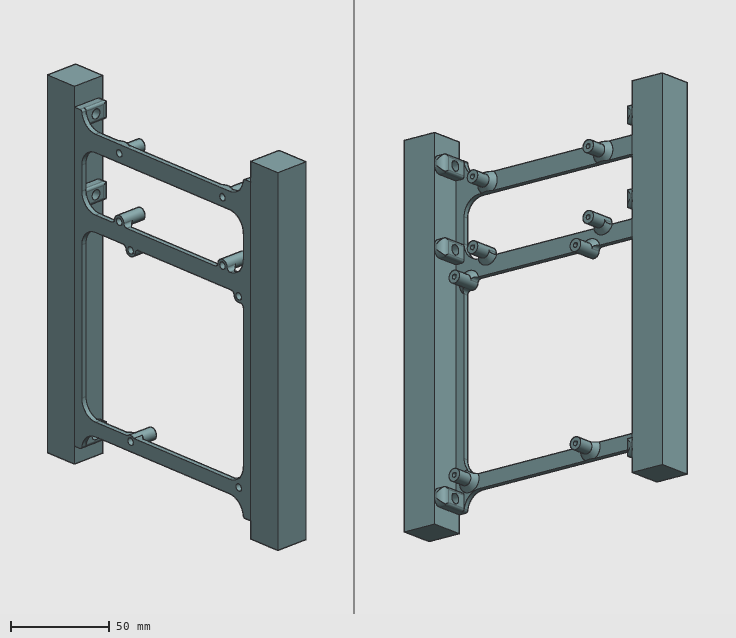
import cadquery as cq
import math

overall_width = 170.0
post_height = 210.3
post_size = 20.0
post_inner_x = overall_width / 2 - post_size

plate_thickness = 3.0
rail_width = 5.5
window_half_width = post_inner_x - rail_width
corner_radius = 10.0
top_bar_bottom_z, top_bar_top_z = 73.2, 83.5
middle_bar_bottom_z, middle_bar_top_z = 28.8, 38.5
bottom_bar_bottom_z, bottom_bar_top_z = -85.0, -76.8
ear_height = corner_radius
frame_top_z = top_bar_top_z + ear_height
frame_bottom_z = bottom_bar_bottom_z - ear_height
ear_tip_radius = 1.5

tab_height = ear_height
tab_edge_radius = ear_tip_radius
tab_rear_radius = 4.0
tab_inner_rear_radius = 4.6
tab_hole_diameter = 5.5
tab_bottoms_z = [top_bar_top_z, middle_bar_top_z, frame_bottom_z]

standoff_diameter = 7.0
standoff_radius = standoff_diameter / 2
standoff_end_y = 15.0
foot_height = 3.0
foot_top_y = plate_thickness + foot_height
foot_base_radius = standoff_radius + foot_height
boss_blend_radius = 2.0
screw_hole_diameter = 2.5
head_bore_diameter = 4.0
head_seat_y = foot_top_y
head_bore_end_y = head_seat_y + (head_bore_diameter - screw_hole_diameter) / 2

upper_left_x, upper_right_x = -32.0, 44.2
upper_top_z, upper_bottom_z = 78.5, 40.4
lower_left_x, lower_right_x = -23.5, 56.2
lower_top_z, lower_bottom_z = 27.1, -79.3
upper_points = [(x, z) for x in (upper_left_x, upper_right_x) for z in (upper_top_z, upper_bottom_z)]
lower_points = [(x, z) for x in (lower_left_x, lower_right_x) for z in (lower_top_z, lower_bottom_z)]
standoff_points = upper_points + lower_points


def block(x_range, y_range, z_range):
    """Box spanning the given (low, high) range on each axis."""
    corners = list(zip(x_range, y_range, z_range))
    size = [high - low for low, high in zip(*corners)]
    return cq.Workplane("XY").box(*size, centered=False).translate(corners[0])


def rod(point, diameter, y_start, y_end):
    """Cylinder along +Y centred on an (x, z) point."""
    plane = cq.Workplane("XZ", origin=(0, y_start, 0))
    return plane.center(*point).circle(diameter / 2).extrude(y_start - y_end)


def cone(point, start_radius, end_radius, y_start, y_end):
    """Truncated cone along +Y centred on an (x, z) point."""
    base = cq.Vector(point[0], y_start, point[1])
    solid = cq.Solid.makeCone(start_radius, end_radius, y_end - y_start, base, cq.Vector(0, 1, 0))
    return cq.Workplane(obj=solid)


def make_post(side):
    """One post; side is -1 for the left and +1 for the right."""
    center_x = side * (overall_width - post_size) / 2
    post = cq.Workplane("XY").box(post_size, post_size, post_height)
    return post.translate((center_x, post_size / 2, 0))


def window(bottom_z, top_z, rounded_corners):
    """Cutter for an opening between the rails, rounded at the selected corners."""
    opening = block((-window_half_width, window_half_width), (0, foot_top_y), (bottom_z, top_z))
    for corner in rounded_corners:
        opening = opening.edges("|Y").edges(corner).fillet(corner_radius)
    return opening


def round_corner(outline, point, radius):
    """Fillet the edge along Y that lies at an (x, z) point of the outline."""
    nearest = cq.selectors.NearestToPointSelector((point[0], foot_top_y / 2, point[1]))
    return outline.edges("|Y").edges(nearest).fillet(radius)


def half_chord(distance):
    """Half the chord that a line cuts from a boss at the given distance from its centre."""
    return math.sqrt(standoff_radius**2 - distance**2)


def blend_bosses(outline):
    """Round the inside corners where the bosses of the middle bar meet its edges and the right rail."""
    upper_reach = half_chord(upper_bottom_z - middle_bar_top_z)
    lower_reach = half_chord(middle_bar_bottom_z - lower_top_z)
    rail_drop = half_chord(window_half_width - lower_right_x)
    corners = [
        (upper_left_x - upper_reach, middle_bar_top_z),
        (upper_left_x + upper_reach, middle_bar_top_z),
        (upper_right_x - upper_reach, middle_bar_top_z),
        (upper_right_x + upper_reach, middle_bar_top_z),
        (lower_left_x - lower_reach, middle_bar_bottom_z),
        (lower_left_x + lower_reach, middle_bar_bottom_z),
        (lower_right_x - lower_reach, middle_bar_bottom_z),
        (window_half_width, lower_top_z - rail_drop),
    ]
    for corner in corners:
        outline = round_corner(outline, corner, boss_blend_radius)
    return outline


def make_outline():
    """Frame outline with bosses, extruded from the front face to the top of the feet."""
    outline = block((-post_inner_x, post_inner_x), (0, foot_top_y), (frame_bottom_z, frame_top_z))
    notch_depth = 2 * ear_height
    outline = outline.cut(window(top_bar_top_z, top_bar_top_z + notch_depth, ["<Z"]))
    outline = outline.cut(window(middle_bar_top_z, top_bar_bottom_z, ["<Z", ">Z"]))
    outline = outline.cut(window(bottom_bar_top_z, middle_bar_bottom_z, ["<Z", "<X and >Z"]))
    outline = outline.union(
        block((lower_right_x, window_half_width), (0, foot_top_y), (lower_top_z, middle_bar_bottom_z))
    )
    outline = outline.cut(window(bottom_bar_bottom_z - notch_depth, bottom_bar_bottom_z, [">Z"]))
    for side in (-1, 1):
        for z in (frame_bottom_z, frame_top_z):
            outline = round_corner(outline, (side * window_half_width, z), ear_tip_radius)
    for point in standoff_points:
        outline = outline.union(rod(point, standoff_diameter, 0, foot_top_y))
    return blend_bosses(outline)


def make_tab(side, bottom_z):
    """Mounting tab with rounded inner and rear edges and a screw hole through it."""
    x_range = sorted((side * window_half_width, side * post_inner_x))
    inner = "<X" if side > 0 else ">X"
    blank = block(x_range, (0, post_size), (bottom_z, bottom_z + tab_height))
    front_shape = blank.faces(inner).edges("|Y").fillet(tab_edge_radius)
    plan_shape = blank.faces(inner).edges("|Z and >Y").fillet(tab_inner_rear_radius)
    side_shape = blank.faces(">Y").edges("|X").fillet(tab_rear_radius)
    tab = front_shape.intersect(plan_shape).intersect(side_shape)
    hole = (
        cq.Workplane("YZ", origin=(x_range[0], 0, 0))
        .center(post_size / 2, bottom_z + tab_height / 2)
        .circle(tab_hole_diameter / 2)
        .extrude(rail_width)
    )
    return tab.cut(hole)


def make_frame():
    """Ladder frame with its tabs, standoffs, conical feet and screw holes."""
    outline = make_outline()
    width_range = (-post_inner_x, post_inner_x)
    frame = outline.intersect(block(width_range, (0, plate_thickness), (frame_bottom_z, frame_top_z)))
    for side in (-1, 1):
        for bottom_z in tab_bottoms_z:
            frame = frame.union(make_tab(side, bottom_z))
    for point in standoff_points:
        foot = cone(point, foot_base_radius, standoff_radius, plate_thickness, foot_top_y)
        frame = frame.union(foot.intersect(outline))
        frame = frame.union(rod(point, standoff_diameter, 0, standoff_end_y))
    for point in standoff_points:
        frame = frame.cut(rod(point, screw_hole_diameter, 0, standoff_end_y))
        frame = frame.cut(rod(point, head_bore_diameter, 0, head_seat_y))
        seat = cone(point, head_bore_diameter / 2, screw_hole_diameter / 2, head_seat_y, head_bore_end_y)
        frame = frame.cut(seat)
    return frame


posts = [make_post(side) for side in (-1, 1)]
frame = make_frame()

result = cq.Compound.makeCompound([frame.solids().val(), *[post.val() for post in posts]])